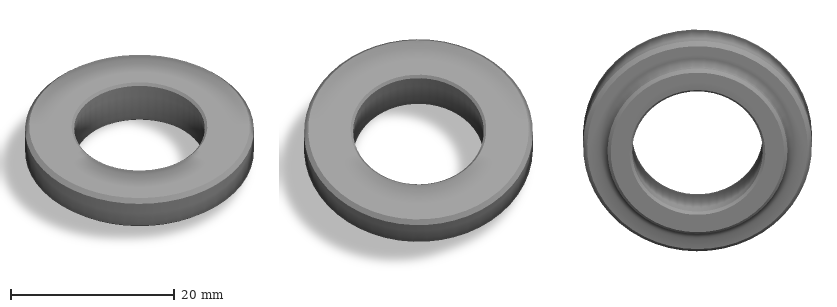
import cadquery as cq

outer_diameter = 28.0
total_height = 6.0
bore_diameter = 16.0

flange_thickness = 4.5
boss_diameter = 22.0
boss_height = total_height - flange_thickness

outer_chamfer = 0.5
bore_chamfer = 0.3
boss_chamfer = 0.4
root_fillet = 0.8


def half_profile():
    """Outline of the flanged disc, from the axis outward, before boring."""
    outer_radius = outer_diameter / 2
    boss_radius = boss_diameter / 2
    return (
        cq.Workplane("XZ")
        .lineTo(boss_radius - boss_chamfer, 0)
        .lineTo(boss_radius, boss_chamfer)
        .lineTo(boss_radius, boss_height - root_fillet)
        .radiusArc((boss_radius + root_fillet, boss_height), root_fillet)
        .lineTo(outer_radius - outer_chamfer, boss_height)
        .lineTo(outer_radius, boss_height + outer_chamfer)
        .lineTo(outer_radius, total_height - outer_chamfer)
        .lineTo(outer_radius - outer_chamfer, total_height)
        .lineTo(0, total_height)
        .close()
    )


def cut_bore(body):
    """Through bore with its top and bottom rims chamfered."""
    bored = body.faces(">Z").workplane().hole(bore_diameter)
    rim = cq.selectors.RadiusNthSelector(0)
    return bored.faces("<Z or >Z").edges(rim).chamfer(bore_chamfer)


body = half_profile().revolve(360, (0, 0, 0), (0, 1, 0))
result = cut_bore(body)